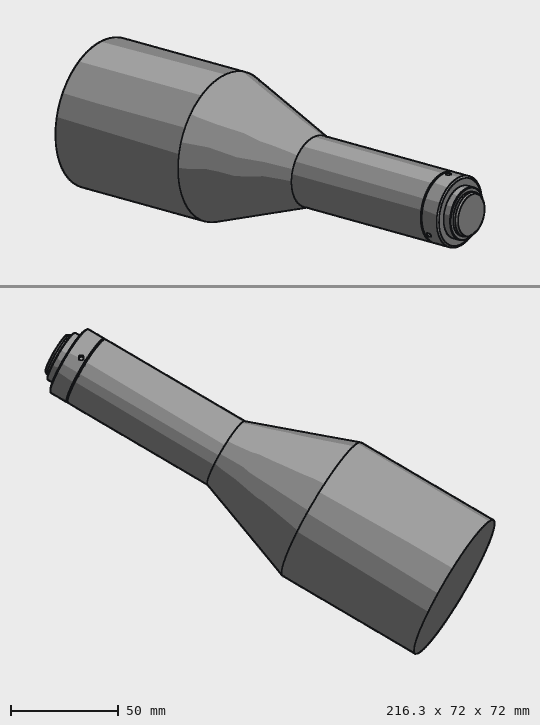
import cadquery as cq

total_length = 216.3
front_length = 72.0
cone_end = 124.0
mount_length = 4.0
nose_length = 2.5
ring_length = 10.0

mount_end = total_length - nose_length
ring_end = mount_end - mount_length
ring_start = ring_end - ring_length

front_diameter = 72.0
barrel_diameter = 34.4
mount_diameter = 25.4
nose_diameter = 21.4

groove_width = 0.7
groove_depth = 3.0
ring_chamfer = 0.6
ring_chamfer_drop = 1.0
mount_chamfer = 0.3
nose_chamfer = 1.2
nose_chamfer_drop = 0.6

screw_hole_diameter = 2.5
screw_hole_depth = 3.0
screw_hole_offset = 3.1
screw_hole_angles = (90, 210, 330)


def make_body():
    """Revolve the stepped half outline about the X axis."""
    front_radius = front_diameter / 2
    barrel_radius = barrel_diameter / 2
    groove_radius = barrel_radius - groove_depth
    mount_radius = mount_diameter / 2
    nose_radius = nose_diameter / 2
    groove_end = ring_start + groove_width
    outline = [
        (0, 0),
        (0, front_radius),
        (front_length, front_radius),
        (cone_end, barrel_radius),
        (ring_start, barrel_radius),
        (ring_start, groove_radius),
        (groove_end, groove_radius),
        (groove_end, barrel_radius),
        (ring_end - ring_chamfer, barrel_radius),
        (ring_end, barrel_radius - ring_chamfer_drop),
        (ring_end, mount_radius),
        (mount_end - mount_chamfer, mount_radius),
        (mount_end, mount_radius - mount_chamfer),
        (mount_end, nose_radius),
        (total_length - nose_chamfer, nose_radius),
        (total_length, nose_radius - nose_chamfer_drop),
        (total_length, 0),
    ]
    return cq.Workplane("XZ").polyline(outline).close().revolve(360, (0, 0), (1, 0))


def make_screw_hole(angle):
    """Blind radial hole; the angle is measured from +Y toward +Z."""
    hole_x = ring_start + screw_hole_offset
    bottom_radius = barrel_diameter / 2 - screw_hole_depth
    cutter = (
        cq.Workplane("XZ", origin=(hole_x, bottom_radius, 0))
        .circle(screw_hole_diameter / 2)
        .extrude(-2 * screw_hole_depth)
    )
    return cutter.rotate((0, 0, 0), (1, 0, 0), angle)


result = make_body()
for hole_angle in screw_hole_angles:
    result = result.cut(make_screw_hole(hole_angle))